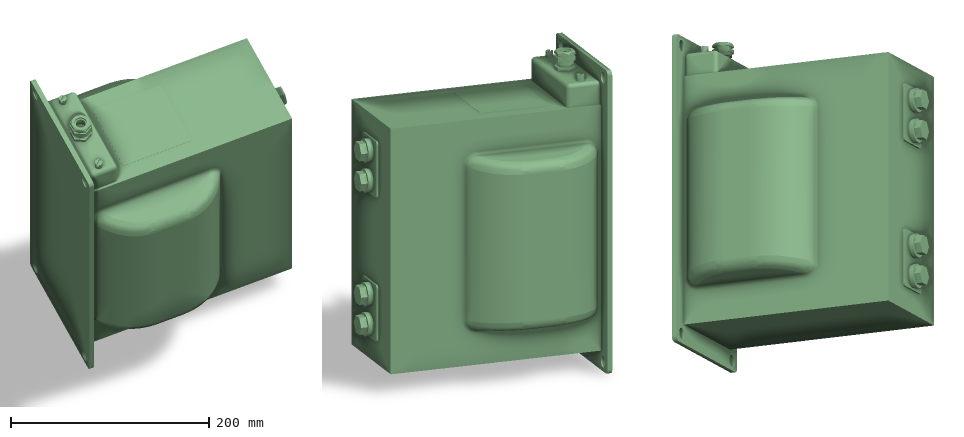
import cadquery as cq
import math


plate_width = 145.0
plate_thickness = 5.2
plate_height = 320.0
plate_corner_radius = 5.0
plate_hole_diameter = 11.7
plate_hole_pitch_x = 120.0
plate_hole_pitch_z = 300.0

block_width = 109.8
block_length = 227.5
block_height = 259.2
block_bottom = 20.5
block_top = block_bottom + block_height
block_middle = block_bottom + block_height / 2
block_back = plate_thickness + block_length

coil_width = 186.5
coil_center_y = 81.0
coil_flat_length = 30.0
coil_side_radius = 61.0
coil_height_at_block = 184.7
coil_end_tilt = 7.0
coil_edge_radius = 11.5
coil_root_radius = 3.5

label_size = 75.8
label_thickness = 0.3
label_center_y = 91.0

box_width = 105.0
box_height = 24.5
box_back = 40.8
box_sink = 1.0
box_edge_radius = 4.2
box_front = plate_thickness - box_sink
box_length = box_back - box_front
box_top = block_top + box_height

gland_center_y = 23.3
gland_across_flats = 19.0
gland_top = 324.0
gland_base_nut_height = 3.2
gland_neck_diameter = 14.5
gland_neck_height = 3.0
gland_body_diameter = 18.0
gland_body_height = 3.5
gland_nut_height = 4.0
gland_groove_diameter = 17.5
gland_groove_height = 2.3
gland_rim_diameter = 18.0
gland_seat_diameter = 12.3
gland_seat_depth = 2.0
gland_bore_diameter = 10.0
gland_bore_depth = 9.7
screw_diameter = 7.8
screw_height = 6.5
screw_pitch = 87.5
screw_slot_width = 2.0
screw_slot_depth = 2.5
screw_slot_angle = -45

pad_width = 40.5
pad_height = 60.0
pad_thickness = 2.0
pad_corner_radius = 3.2
pad_offset_z = 75.8
bolt_pitch = 31.8
bolt_washer_diameter = 24.0
bolt_washer_thickness = 2.3
bolt_flange_diameter = 24.5
bolt_flange_thickness = 3.5
bolt_head_across_flats = 18.0
bolt_head_height = 7.0


def hexagon_diameter(across_flats):
    return across_flats / math.cos(math.radians(30))


def centered_block(width, length, height, y_start, z_start):
    """Box centred on X = 0 that starts at the given Y and Z."""
    return cq.Workplane("XY").box(width, length, height, (True, False, False)).translate((0, y_start, z_start))


def make_plate():
    plate = centered_block(plate_width, plate_thickness, plate_height, 0, 0)
    plate = plate.edges("|Y").fillet(plate_corner_radius)
    holes = (
        cq.Workplane("XZ", origin=(0, 0, plate_height / 2))
        .rarray(plate_hole_pitch_x, plate_hole_pitch_z, 2, 2)
        .circle(plate_hole_diameter / 2)
        .extrude(-plate_thickness)
    )
    return plate.cut(holes)


def make_coil_lobe():
    """Lobe on the +X side, running inward to the middle of its side arcs."""
    x_outer = coil_width / 2
    x_inner = x_outer - coil_side_radius
    flat_half = coil_flat_length / 2
    y_half = flat_half + coil_side_radius
    diagonal = coil_side_radius * math.sin(math.radians(45))
    outline = (
        cq.Workplane("XY", origin=(0, coil_center_y, block_middle))
        .moveTo(x_inner, -y_half)
        .threePointArc((x_inner + diagonal, -flat_half - diagonal), (x_outer, -flat_half))
        .lineTo(x_outer, flat_half)
        .threePointArc((x_inner + diagonal, flat_half + diagonal), (x_inner, y_half))
        .close()
    )
    slope = math.tan(math.radians(coil_end_tilt))
    inner_half = coil_height_at_block / 2 + slope * (block_width / 2 - x_inner)
    outer_half = inner_half - slope * (x_outer - x_inner)
    side_profile = [
        (x_inner, -inner_half),
        (x_outer, -outer_half),
        (x_outer, outer_half),
        (x_inner, inner_half),
    ]
    tapered_ends = (
        cq.Workplane("XZ", origin=(0, coil_center_y, block_middle))
        .polyline(side_profile)
        .close()
        .extrude(y_half, both=True)
    )
    lobe = outline.extrude(inner_half, both=True).intersect(tapered_ends)
    end_edges = lobe.edges("not(|Z or <X)")
    return end_edges.fillet(coil_edge_radius)


def make_core():
    """Block with both coil lobes blended into its sides."""
    lobe = make_coil_lobe()
    core = centered_block(block_width, block_length, block_height, plate_thickness, block_bottom)
    core = core.union(lobe).union(lobe.mirror("YZ"))
    for side in (-1, 1):
        wall_edge_point = (side * block_width / 2, block_back, block_middle)
        wall = core.faces("|X").faces(cq.selectors.NearestToPointSelector(wall_edge_point))
        seam = wall.val().innerWires()[0].Edges()
        core = core.newObject(seam).fillet(coil_root_radius)
    return core


def make_label():
    return centered_block(label_size, label_size, label_thickness, label_center_y - label_size / 2, block_top)


def make_terminal_box():
    box = centered_block(box_width, box_length, box_height, box_front, block_top)
    return box.edges("|Z or >Z").fillet(box_edge_radius)


def make_gland():
    """Stack of nuts and round sections with a stepped bore from the top."""
    nut_diameter = hexagon_diameter(gland_across_flats)
    base = cq.Workplane("XY", origin=(0, gland_center_y, box_top))
    neck_start = gland_base_nut_height
    body_start = neck_start + gland_neck_height
    nut_start = body_start + gland_body_height
    groove_start = nut_start + gland_nut_height
    cap_start = groove_start + gland_groove_height
    cap_height = gland_top - box_top - cap_start
    gland = base.polygon(6, nut_diameter).extrude(gland_base_nut_height)
    neck = base.workplane(offset=neck_start).circle(gland_neck_diameter / 2).extrude(gland_neck_height)
    body = base.workplane(offset=body_start).circle(gland_body_diameter / 2).extrude(gland_body_height)
    nut = base.workplane(offset=nut_start).polygon(6, nut_diameter).extrude(gland_nut_height)
    groove = base.workplane(offset=groove_start).circle(gland_groove_diameter / 2).extrude(gland_groove_height)
    cap = base.workplane(offset=cap_start).polygon(6, nut_diameter).extrude(cap_height)
    rim_chamfer = (nut_diameter - gland_rim_diameter) / 2
    cap_envelope = base.workplane(offset=cap_start).circle(nut_diameter / 2).extrude(cap_height)
    cap = cap.intersect(cap_envelope.faces(">Z").edges().chamfer(rim_chamfer))
    gland = gland.union(neck).union(body).union(nut).union(groove).union(cap)
    top = cq.Workplane("XY", origin=(0, gland_center_y, gland_top))
    gland = gland.cut(top.circle(gland_seat_diameter / 2).extrude(-gland_seat_depth))
    return gland.cut(top.circle(gland_bore_diameter / 2).extrude(-gland_bore_depth))


def make_cover_screw(center_x):
    screw = cq.Workplane("XY").circle(screw_diameter / 2).extrude(screw_height)
    slot = (
        cq.Workplane("XY", origin=(0, 0, screw_height - screw_slot_depth))
        .rect(2 * screw_diameter, screw_slot_width)
        .extrude(screw_slot_depth)
        .rotate((0, 0, 0), (0, 0, 1), screw_slot_angle)
    )
    return screw.cut(slot).translate((center_x, gland_center_y, box_top))


def make_terminal_bolt(center_z):
    """Washer, flange and hexagonal head standing on a terminal pad."""
    pad_face = cq.Workplane("XZ", origin=(0, block_back + pad_thickness, center_z))
    washer = pad_face.circle(bolt_washer_diameter / 2).extrude(-bolt_washer_thickness)
    flange_face = pad_face.workplane(offset=-bolt_washer_thickness)
    flange = flange_face.circle(bolt_flange_diameter / 2).extrude(-bolt_flange_thickness)
    head_face = flange_face.workplane(offset=-bolt_flange_thickness)
    head = head_face.polygon(6, hexagon_diameter(bolt_head_across_flats)).extrude(-bolt_head_height)
    return washer.union(flange).union(head)


def make_terminal_pad(center_z):
    """Pad with rounded corners and two flanged bolts."""
    back = cq.Workplane("XZ", origin=(0, block_back, center_z))
    pad = back.rect(pad_width, pad_height).extrude(-pad_thickness)
    pad = pad.edges("|Y").fillet(pad_corner_radius)
    for side in (-1, 1):
        pad = pad.union(make_terminal_bolt(center_z + side * bolt_pitch / 2))
    return pad


result = make_core().union(make_plate()).union(make_label())
result = result.union(make_terminal_box()).union(make_gland())
for side in (-1, 1):
    result = result.union(make_cover_screw(side * screw_pitch / 2))
    result = result.union(make_terminal_pad(block_middle + side * pad_offset_z))